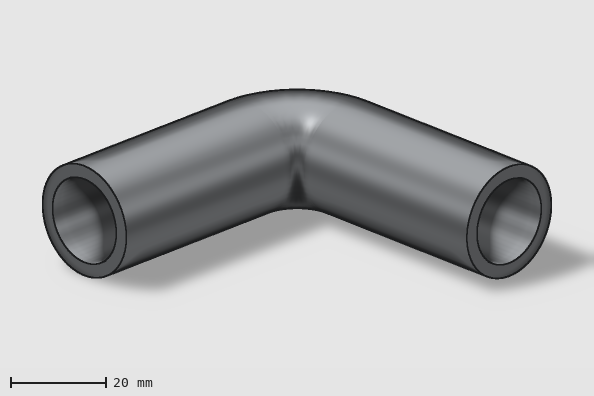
import cadquery as cq

OUTER_DIAMETER = 25.0
INNER_DIAMETER = 19.0
BEND_RADIUS = 14.5
CENTRE_TO_END = 63.0

LEG_LENGTH = CENTRE_TO_END - BEND_RADIUS


def straight_leg(start_plane):
    """Straight tube that runs along the normal of the given plane."""
    return (
        cq.Workplane(start_plane)
        .circle(OUTER_DIAMETER / 2)
        .circle(INNER_DIAMETER / 2)
        .extrude(LEG_LENGTH)
    )


def elbow():
    """Quarter-torus tube that joins the two legs, turned about a Z axis."""
    return (
        cq.Workplane("XZ", origin=(0, -BEND_RADIUS, 0))
        .circle(OUTER_DIAMETER / 2)
        .circle(INNER_DIAMETER / 2)
        .revolve(90, (BEND_RADIUS, 0, 0), (BEND_RADIUS, -1, 0))
    )


x_leg = straight_leg(cq.Plane(origin=(BEND_RADIUS, 0, 0), xDir=(0, 1, 0), normal=(1, 0, 0)))
y_leg = straight_leg(cq.Plane(origin=(0, -BEND_RADIUS, 0), xDir=(1, 0, 0), normal=(0, -1, 0)))

result = elbow().union(x_leg).union(y_leg)